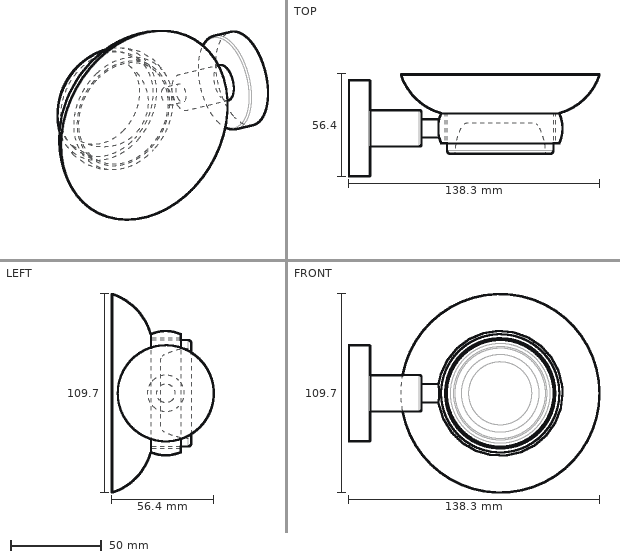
import cadquery as cq
import math


plate_radius = 26.5
plate_thickness = 11.9
plate_edge_round = 1.0
post_radius = 10.1
post_end_x = 40.1
post_edge_round = 1.4
rod_radius = 5.1

rim_radius = 54.85
rim_y = 29.9
rim_edge_round = 0.4
bowl_mid_radius = 49.4
bowl_mid_y = 19.4
overall_length = 138.3
dish_axis_x = overall_length - rim_radius

ring_half_height = 8.3
ring_end_radius = 32.6
ring_crest_radius = 34.5
ring_bore_radius = 30.5

foot_radius = 29.5
foot_y = -14.1
foot_outer_round = 2.0
foot_inner_round = 0.8
recess_mouth_radius = 24.97
recess_wall_end_radius = 21.5
recess_wall_end_y = 0.7
recess_floor_radius = 17.4
recess_floor_y = 3.0
recess_wall_bulge = 0.8
recess_corner_bulge = 0.7


def turn_about_dish_axis(profile):
    """Revolve an (X = radius, Y = height) profile about Y and move it to the dish axis."""
    return profile.close().revolve(360, (0, 0, 0), (0, 1, 0)).translate((dish_axis_x, 0, 0))


def rounding_mid(center_x, center_y, radius, side_x, side_y):
    """Midpoint of a quarter round on the chosen side of its centre."""
    offset = radius * math.sqrt(0.5)
    return center_x + side_x * offset, center_y + side_y * offset


def bulged_mid(start, end, bulge):
    """Point offset from the middle of a straight line, to the left of its direction."""
    dx = end[0] - start[0]
    dy = end[1] - start[1]
    length = math.hypot(dx, dy)
    mid_x = (start[0] + end[0]) / 2
    mid_y = (start[1] + end[1]) / 2
    return mid_x - bulge * dy / length, mid_y + bulge * dx / length


def make_holder():
    plate = cq.Workplane("YZ").circle(plate_radius).extrude(plate_thickness)
    plate = plate.faces(">X").edges().fillet(plate_edge_round)
    post = cq.Workplane("YZ").circle(post_radius).extrude(post_end_x)
    post = post.faces(">X").edges().fillet(post_edge_round)
    ring = turn_about_dish_axis(
        cq.Workplane("XY")
        .moveTo(ring_bore_radius, -ring_half_height)
        .lineTo(ring_end_radius, -ring_half_height)
        .threePointArc((ring_crest_radius, 0), (ring_end_radius, ring_half_height))
        .lineTo(ring_bore_radius, ring_half_height)
    )
    rod_end_x = dish_axis_x - (ring_bore_radius + ring_end_radius) / 2
    rod = cq.Workplane("YZ").circle(rod_radius).extrude(rod_end_x)
    return plate.union(post).union(rod).union(ring)


def make_dish():
    outer_center = (foot_radius - foot_outer_round, foot_y + foot_outer_round)
    inner_center = (recess_mouth_radius + foot_inner_round, foot_y + foot_inner_round)
    wall_start = (recess_mouth_radius, inner_center[1])
    wall_end = (recess_wall_end_radius, recess_wall_end_y)
    floor_edge = (recess_floor_radius, recess_floor_y)
    rim_side_y = rim_y - rim_edge_round
    rim_top_radius = rim_radius - rim_edge_round
    return turn_about_dish_axis(
        cq.Workplane("XY")
        .moveTo(0, recess_floor_y)
        .lineTo(*floor_edge)
        .threePointArc(bulged_mid(floor_edge, wall_end, recess_corner_bulge), wall_end)
        .threePointArc(bulged_mid(wall_end, wall_start, recess_wall_bulge), wall_start)
        .threePointArc(
            rounding_mid(*inner_center, foot_inner_round, -1, -1),
            (inner_center[0], foot_y),
        )
        .lineTo(outer_center[0], foot_y)
        .threePointArc(
            rounding_mid(*outer_center, foot_outer_round, 1, -1),
            (foot_radius, outer_center[1]),
        )
        .lineTo(foot_radius, ring_half_height)
        .lineTo(ring_end_radius, ring_half_height)
        .threePointArc((bowl_mid_radius, bowl_mid_y), (rim_radius, rim_side_y))
        .threePointArc(
            rounding_mid(rim_top_radius, rim_side_y, rim_edge_round, 1, 1),
            (rim_top_radius, rim_y),
        )
        .lineTo(0, rim_y)
    )


holder = make_holder()
dish = make_dish()
result = cq.Compound.makeCompound([holder.val(), dish.val()])